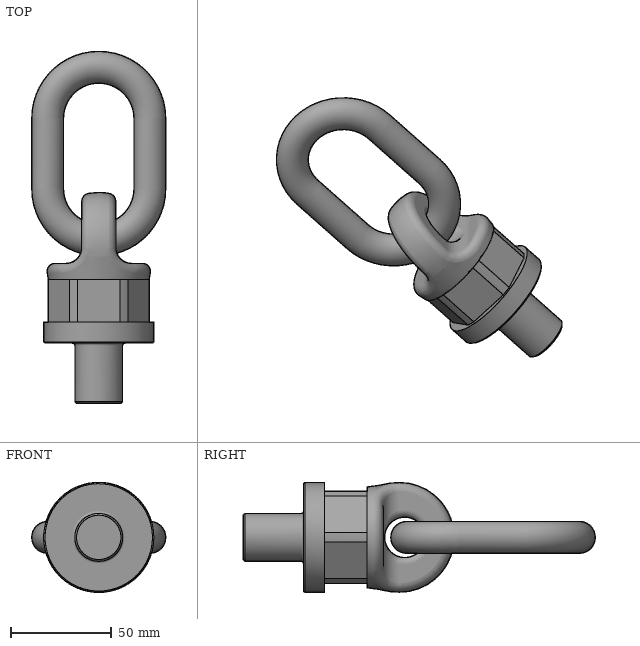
import cadquery as cq
import math


overall_length = 176.0
link_width = 67.0
bar_diameter = 16.0
link_straight_length = 35.2
link_bend_radius = (link_width - bar_diameter) / 2
link_upper_bend_y = overall_length - link_width / 2
link_lower_bend_y = link_upper_bend_y - link_straight_length

flange_diameter = 55.0
flange_bottom_y = 30.1
flange_thickness = 10.5
flange_chamfer = 0.7
hex_sides = 6
hex_across_flats = 46.1
hex_corner_diameter = 50.7
hex_height = 21.3
shank_diameter = 24.0
shank_tip_chamfer = 0.9
shank_root_fillet = 1.2
flange_top_y = flange_bottom_y + flange_thickness
hex_top_y = flange_top_y + hex_height

dome_diameter = 55.0
yoke_base_diameter = 50.5
yoke_bottom_y = hex_top_y
shoulder_y = 70.0
neck_fillet = 8.0
dome_center_y = shoulder_y + neck_fillet
eye_thickness = 17.0
eye_hole_diameter = 20.0
eye_hole_floor_gap = 0.7
eye_hole_y = shoulder_y + eye_hole_floor_gap + eye_hole_diameter / 2
rim_fillet = 4.0
hole_fillet = 3.5

select_margin = 0.2


def make_link():
    lower_bend = cq.Workplane("XY").center(0, link_lower_bend_y)
    upper_end_y = link_straight_length + link_bend_radius
    path = (
        lower_bend.moveTo(link_bend_radius, 0)
        .lineTo(link_bend_radius, link_straight_length)
        .threePointArc((0, upper_end_y), (-link_bend_radius, link_straight_length))
        .lineTo(-link_bend_radius, 0)
        .threePointArc((0, -link_bend_radius), (link_bend_radius, 0))
    )
    section = cq.Workplane("XZ", origin=(link_bend_radius, link_lower_bend_y, 0)).circle(bar_diameter / 2)
    return section.sweep(path)


def cylinder_along_y(diameter, start_y, length):
    """Round bar on the Y axis, growing toward +Y from start_y."""
    plane = cq.Workplane("XZ", origin=(0, start_y, 0))
    return plane.circle(diameter / 2).extrude(-length)


def make_hex_bolt():
    across_corners = hex_across_flats / math.cos(math.pi / hex_sides)
    hexagon = (
        cq.Workplane("XZ", origin=(0, flange_top_y, 0))
        .polygon(hex_sides, across_corners)
        .extrude(-hex_height)
        .intersect(cylinder_along_y(hex_corner_diameter, flange_top_y, hex_height))
    )
    flange = cylinder_along_y(flange_diameter, flange_bottom_y, flange_thickness)
    flange = flange.faces("<Y").edges().chamfer(flange_chamfer)
    shank = cylinder_along_y(shank_diameter, 0, flange_bottom_y)
    shank = shank.faces("<Y").edges().chamfer(shank_tip_chamfer)
    bolt = flange.union(shank).union(hexagon)
    root_plane = cq.selectors.BoxSelector(
        (-shank_diameter, flange_bottom_y - select_margin, -shank_diameter),
        (shank_diameter, flange_bottom_y + select_margin, shank_diameter),
    )
    root_edge = cq.selectors.RadiusNthSelector(0)
    return bolt.edges(root_plane).edges(root_edge).fillet(shank_root_fillet)


def make_yoke_envelope():
    """Cone that runs tangentially into a spherical dome, turned about the Y axis."""
    dome_radius = dome_diameter / 2
    base_radius = yoke_base_diameter / 2
    drop = dome_center_y - yoke_bottom_y
    corner_distance = math.hypot(base_radius, drop)
    tangent_angle = math.acos(dome_radius / corner_distance) - math.atan2(drop, base_radius)

    def dome_point(angle):
        return (dome_radius * math.cos(angle), dome_center_y + dome_radius * math.sin(angle))

    profile = (
        cq.Workplane("XY")
        .moveTo(0, yoke_bottom_y)
        .lineTo(base_radius, yoke_bottom_y)
        .lineTo(*dome_point(tangent_angle))
        .threePointArc(dome_point((tangent_angle + math.pi / 2) / 2), dome_point(math.pi / 2))
        .close()
    )
    return profile.revolve(360, (0, 0, 0), (0, 1, 0))


def make_yoke_silhouette():
    """Inverted T: an upright eye plate with concave necks down to flat shoulders."""
    side_x = eye_thickness / 2
    neck_x = side_x + neck_fillet
    outer_x = dome_diameter
    top_y = dome_center_y + dome_diameter
    neck_bulge = neck_fillet * (1 - math.sqrt(0.5))
    right_half = (
        cq.Workplane("XY")
        .moveTo(0, yoke_bottom_y)
        .lineTo(outer_x, yoke_bottom_y)
        .lineTo(outer_x, shoulder_y)
        .lineTo(neck_x, shoulder_y)
        .threePointArc((side_x + neck_bulge, shoulder_y + neck_bulge), (side_x, dome_center_y))
        .lineTo(side_x, top_y)
        .lineTo(0, top_y)
    )
    return right_half.mirrorY().extrude(dome_diameter, both=True)


def eye_hole_cutter():
    plane = cq.Workplane("YZ").center(eye_hole_y, 0)
    return plane.circle(eye_hole_diameter / 2).extrude(dome_diameter, both=True)


def round_eye_hole(yoke):
    """Round both mouths of the eye hole, where it leaves the flat sides and the necks."""
    hole_radius = eye_hole_diameter / 2
    inner_x = eye_thickness / 2 - select_margin
    outer_x = eye_thickness / 2 + neck_fillet
    low_y = eye_hole_y - hole_radius
    high_y = eye_hole_y + hole_radius
    right_mouth = cq.selectors.BoxSelector((inner_x, low_y, -hole_radius), (outer_x, high_y, hole_radius))
    left_mouth = cq.selectors.BoxSelector((-outer_x, low_y, -hole_radius), (-inner_x, high_y, hole_radius))
    return yoke.edges(right_mouth + left_mouth).fillet(hole_fillet)


def make_yoke():
    envelope = make_yoke_envelope()
    yoke = envelope.intersect(make_yoke_silhouette())
    yoke = yoke.edges("not <Y").fillet(rim_fillet)
    yoke = yoke.cut(eye_hole_cutter())
    return round_eye_hole(yoke)


link = make_link()
hex_bolt = make_hex_bolt()
yoke = make_yoke()

result = cq.Compound.makeCompound([link.val(), hex_bolt.val(), yoke.val()])